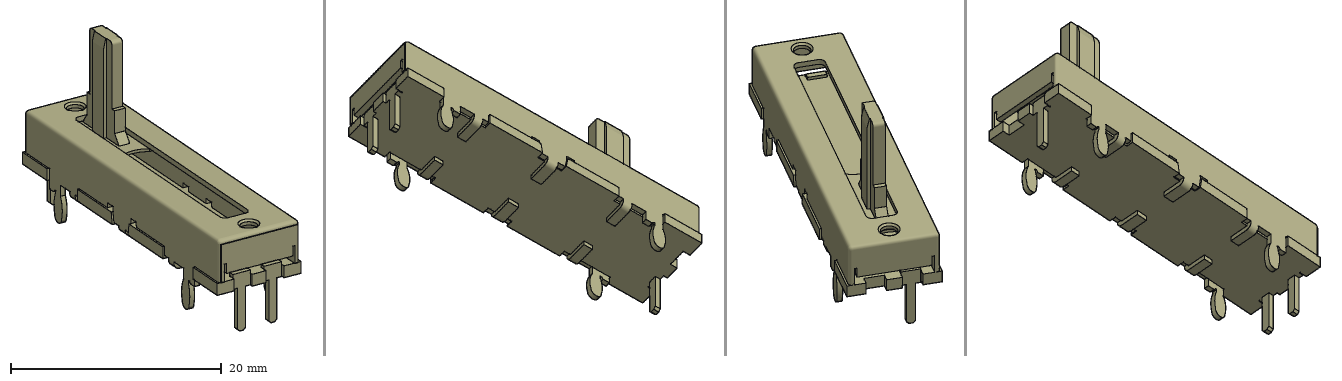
import cadquery as cq
import math

LENGTH = 35.0
LEFT_END = -LENGTH / 2
END_PAD_THICKNESS = 0.1
RIGHT_END = LENGTH / 2 - END_PAD_THICKNESS

BASE_WIDTH = 9.4
BASE_THICKNESS = 1.25
END_RECESS_INNER_Y = 0.78
END_RECESS_OUTER_Y = 2.8
END_RECESS_DEPTH = 0.8

COVER_WIDTH = 9.0
COVER_TOP = 5.65
SHEET = 0.55
COVER_BEND = 0.4
COVER_CORNER = 0.35
SIDE_OUTER_Y = COVER_WIDTH / 2
SIDE_INNER_Y = SIDE_OUTER_Y - SHEET
END_PAD_WIDTH = 8.6
END_WALL_BOTTOM = 2.1
END_WALL_HALF_WIDTH = 3.71
END_SLIT_TOP = 3.13

SLOT_LENGTH = 26.8
SLOT_WIDTH = 3.08
SLOT_CORNER = 0.6
SCREW_HOLE_X = 15.55
SCREW_HOLE_RADIUS = 0.84
SCREW_HOLE_CHAMFER = 0.2

SKIRT_INNER_X = 7.65
SKIRT_OUTER_X = 13.0
SKIRT_BOTTOM = 0.28
NOTCH_OUTER_X = 13.1
TAB_TOP_HALF = 1.6
TAB_BOTTOM_HALF = 1.4
TAB_BOTTOM = 0.15
WINDOW_OUTER_X = 2.53
WINDOW_TOP = 1.77
WINDOW_FLARE = 0.07

CLAW_X = 8.85
CLAW_WIDTH = 1.0
CENTRE_CLAW_WIDTH = 1.2
CLAW_BEND_TOP = 0.1
CLAW_BOTTOM = -0.53
CLAW_INNER_Y = 1.8
CLAW_BEND = CLAW_BEND_TOP - CLAW_BOTTOM

STEM_WIDTH = 2.0
LEG_X = SKIRT_OUTER_X - STEM_WIDTH / 2
STEM_BOTTOM = -0.87
LEAF_BULGE_X = 1.33
LEAF_WAIST_X = -0.16
LEAF_BULGE_Z = -2.2
LEAF_TIP_X = 0.58
LEAF_TIP_RADIUS = 0.62
LEAF_TIP_Z = -3.83
LEG_NOTCH_TOP = -0.65
LEG_NOTCH_LEFT_X = -0.05
LEG_NOTCH_RIGHT_X = 0.1
LEG_NOTCH_LIP_X = -0.25

TERMINAL_X = 16.75
TERMINAL_THICKNESS = 0.6
TERMINAL_TOP = 1.57
TERMINAL_OUTER_Y = 2.72
TERMINAL_Y = (END_RECESS_INNER_Y + TERMINAL_OUTER_Y) / 2
TERMINAL_WIDTH = TERMINAL_OUTER_Y - END_RECESS_INNER_Y
TERMINAL_PLACES = [
    (-TERMINAL_X, -TERMINAL_Y),
    (TERMINAL_X, -TERMINAL_Y),
    (TERMINAL_X, TERMINAL_Y),
]
PIN_WIDTH = 0.9
PIN_BOTTOM = -4.55
PIN_CHAMFER = 0.25

SLIDER_X = -10.0
SLIDER_TOP = 15.52
LEVER_HALF_LENGTH = 2.0
LEVER_WIDTH = 1.2
LEVER_CORNER = 0.4
SHOULDER_HALF_LENGTH = 2.48
SHOULDER_TOP = 8.5
FLARE_HALF_LENGTH = 3.26
FLARE_TOP = 6.12
RIB_LENGTH = 2.02
RIB_HALF_WIDTH = 0.92
RIB_TIP_HALF_WIDTH = 0.68
RIB_TAPER_START = 14.5
CARRIAGE_TOP = COVER_TOP - SHEET
CARRIAGE_THICKNESS = 0.3
CARRIAGE_HALF_WIDTH = 3.0
CARRIAGE_WAIST = 4.81
CARRIAGE_END_RADIUS = 2.76


def block(x_min, x_max, y_min, y_max, z_min, z_max):
    """Box given by its limits along each axis."""
    size = (x_max - x_min, y_max - y_min, z_max - z_min)
    return cq.Workplane("XY").box(*size, centered=False).translate((x_min, y_min, z_min))


def side_plate(outline, side, depth):
    """Plate from a closed XZ outline, starting at the inner face of the +Y or -Y side wall."""
    return outline.extrude(-side * depth).translate((0, side * SIDE_INNER_Y, 0))


def centre_tab_outline(bottom):
    """Tapered tab in the middle of each side wall, its flanks meeting the base top at full width."""
    slope = (TAB_TOP_HALF - TAB_BOTTOM_HALF) / BASE_THICKNESS
    bottom_half = TAB_TOP_HALF - slope * (BASE_THICKNESS - bottom)
    return cq.Workplane("XZ").polyline([
        (-TAB_TOP_HALF, BASE_THICKNESS),
        (TAB_TOP_HALF, BASE_THICKNESS),
        (bottom_half, bottom),
        (-bottom_half, bottom),
    ]).close()


def make_base():
    """Plate notched for the cover's skirts and tabs, with recessed ends for the terminals."""
    base = block(LEFT_END, RIGHT_END, -BASE_WIDTH / 2, BASE_WIDTH / 2, 0, BASE_THICKNESS)
    end_recesses = [(LEFT_END, LEFT_END + END_RECESS_DEPTH), (RIGHT_END - END_RECESS_DEPTH, RIGHT_END)]
    for side in (-1, 1):
        base = base.cut(side_plate(centre_tab_outline(0), side, BASE_WIDTH))
        side_y = sorted((side * SIDE_INNER_Y, side * BASE_WIDTH))
        end_y = sorted((side * END_RECESS_INNER_Y, side * END_RECESS_OUTER_Y))
        for end in (-1, 1):
            notch_x = sorted((end * SKIRT_INNER_X, end * NOTCH_OUTER_X))
            base = base.cut(block(*notch_x, *side_y, 0, BASE_THICKNESS))
        for recess_x in end_recesses:
            base = base.cut(block(*recess_x, *end_y, 0, BASE_THICKNESS))
    return base


def make_cover_shell():
    """Open-bottomed box with bent edges and a thin raised pad on its +X end."""
    shell = (
        block(LEFT_END, RIGHT_END, -SIDE_OUTER_Y, SIDE_OUTER_Y, BASE_THICKNESS, COVER_TOP)
        .edges("|Z").fillet(COVER_CORNER)
        .edges(">Z").fillet(COVER_BEND)
    )
    pad_half = END_PAD_WIDTH / 2
    shell = shell.union(block(
        RIGHT_END - SHEET, RIGHT_END + END_PAD_THICKNESS,
        -pad_half, pad_half, BASE_THICKNESS, COVER_TOP - COVER_BEND,
    ))
    return shell.cut(block(
        LEFT_END + SHEET, RIGHT_END - SHEET, -SIDE_INNER_Y, SIDE_INNER_Y, BASE_THICKNESS, COVER_TOP - SHEET,
    ))


def cut_end_walls(cover):
    """Raise the lower edge of both end walls and slit them free of the side walls."""
    cover = cover.cut(block(-LENGTH, LENGTH, -SIDE_INNER_Y, SIDE_INNER_Y, BASE_THICKNESS, END_WALL_BOTTOM))
    for side in (-1, 1):
        slit_y = sorted((side * END_WALL_HALF_WIDTH, side * SIDE_INNER_Y))
        cover = cover.cut(block(-LENGTH, LENGTH, *slit_y, BASE_THICKNESS, END_SLIT_TOP))
    return cover


def cut_top_openings(cover):
    """Travel slot for the lever and a chamfered screw hole beyond each end of it."""
    slot = (
        cq.Workplane("XY").workplane(offset=COVER_TOP - SHEET)
        .rect(SLOT_LENGTH, SLOT_WIDTH).extrude(SHEET)
        .edges("|Z").fillet(SLOT_CORNER)
    )
    screw_hole = (
        cq.Workplane("XY").workplane(offset=COVER_TOP - SHEET)
        .circle(SCREW_HOLE_RADIUS).extrude(SHEET)
        .faces(">Z").workplane(offset=-SCREW_HOLE_CHAMFER)
        .circle(SCREW_HOLE_RADIUS)
        .workplane(offset=SCREW_HOLE_CHAMFER)
        .circle(SCREW_HOLE_RADIUS + SCREW_HOLE_CHAMFER)
        .loft()
    )
    cover = cover.cut(slot)
    for end in (-1, 1):
        cover = cover.cut(screw_hole.translate((end * SCREW_HOLE_X, 0, 0)))
    return cover


def cut_side_windows(cover):
    """Small openings through both side walls, on either side of the centre tabs."""
    for end in (-1, 1):
        window = cq.Workplane("XZ").polyline([
            (end * TAB_TOP_HALF, BASE_THICKNESS),
            (end * TAB_TOP_HALF, WINDOW_TOP),
            (end * WINDOW_OUTER_X, WINDOW_TOP),
            (end * (WINDOW_OUTER_X + WINDOW_FLARE), BASE_THICKNESS),
        ]).close()
        cover = cover.cut(window.extrude(SIDE_OUTER_Y, both=True))
    return cover


def leg_outline(lean):
    """Stem with one leaf-shaped prong; lean is the X direction in which the leaf bulges."""
    half = STEM_WIDTH / 2
    tip_centre_z = LEAF_TIP_Z + LEAF_TIP_RADIUS

    def at(x, z):
        return (lean * x, z)

    return (
        cq.Workplane("XZ")
        .moveTo(*at(-half, BASE_THICKNESS))
        .lineTo(*at(half, BASE_THICKNESS))
        .lineTo(*at(half, STEM_BOTTOM))
        .threePointArc(at(LEAF_BULGE_X, LEAF_BULGE_Z), at(LEAF_TIP_X + LEAF_TIP_RADIUS, tip_centre_z))
        .threePointArc(at(LEAF_TIP_X, LEAF_TIP_Z), at(LEAF_TIP_X - LEAF_TIP_RADIUS, tip_centre_z))
        .threePointArc(at(LEAF_WAIST_X, LEAF_BULGE_Z), at(LEG_NOTCH_RIGHT_X, STEM_BOTTOM))
        .lineTo(*at(LEG_NOTCH_RIGHT_X, LEG_NOTCH_TOP))
        .lineTo(*at(LEG_NOTCH_LEFT_X, LEG_NOTCH_TOP))
        .lineTo(*at(LEG_NOTCH_LIP_X, STEM_BOTTOM))
        .lineTo(*at(-half, STEM_BOTTOM))
        .close()
    )


def make_claw(x, width, side):
    """Tongue bent inward under the base from one side wall."""
    claw_x = (x - width / 2, x + width / 2)
    tongue_y = sorted((side * CLAW_INNER_Y, side * SIDE_OUTER_Y))
    wall_y = sorted((side * SIDE_INNER_Y, side * SIDE_OUTER_Y))
    tongue = block(*claw_x, *tongue_y, CLAW_BOTTOM, 0)
    claw = tongue.union(block(*claw_x, *wall_y, CLAW_BOTTOM, SKIRT_BOTTOM))
    outer = ">Y" if side > 0 else "<Y"
    return claw.faces("<Z").edges(outer).fillet(CLAW_BEND)


def add_side_features(housing):
    """Skirts, centre tabs, claws and snap-in legs of both side walls."""
    for side in (-1, 1):
        side_y = sorted((side * SIDE_INNER_Y, side * SIDE_OUTER_Y))
        housing = housing.union(side_plate(centre_tab_outline(TAB_BOTTOM), side, SHEET))
        housing = housing.union(make_claw(0, CENTRE_CLAW_WIDTH, side))
        for end in (-1, 1):
            skirt_x = sorted((end * SKIRT_INNER_X, end * SKIRT_OUTER_X))
            housing = housing.union(block(*skirt_x, *side_y, SKIRT_BOTTOM, BASE_THICKNESS))
            housing = housing.union(make_claw(end * CLAW_X, CLAW_WIDTH, side))
            leg = side_plate(leg_outline(end * side), side, SHEET)
            housing = housing.union(leg.translate((end * LEG_X, 0, 0)))
    return housing


def make_terminal():
    """Terminal plate with its solder pin, centred on its own x = 0 and y = 0."""
    plate = cq.Workplane("XY").box(
        TERMINAL_THICKNESS, TERMINAL_WIDTH, TERMINAL_TOP, centered=(True, True, False))
    pin = (
        cq.Workplane("XY").workplane(offset=PIN_BOTTOM)
        .box(TERMINAL_THICKNESS, PIN_WIDTH, -PIN_BOTTOM, centered=(True, True, False))
        .faces("<Z").edges("|X").chamfer(PIN_CHAMFER)
    )
    return plate.union(pin)


def make_housing():
    """Base, cover and terminals joined into the one fixed body."""
    cover = cut_side_windows(cut_top_openings(cut_end_walls(make_cover_shell())))
    housing = add_side_features(make_base().union(cover))
    for x, y in TERMINAL_PLACES:
        housing = housing.union(make_terminal().translate((x, y, 0)))
    return housing


def make_lever():
    """Flat lever with a shoulder and a flared foot, standing on the carriage."""
    profile = [
        (LEVER_HALF_LENGTH, SLIDER_TOP),
        (LEVER_HALF_LENGTH, SHOULDER_TOP),
        (SHOULDER_HALF_LENGTH, SHOULDER_TOP),
        (SHOULDER_HALF_LENGTH, FLARE_TOP),
        (FLARE_HALF_LENGTH, CARRIAGE_TOP),
    ]
    mirrored = [(-x, z) for x, z in reversed(profile)]
    return (
        cq.Workplane("XZ").polyline(profile + mirrored).close()
        .extrude(LEVER_WIDTH / 2, both=True)
        .edges(">Z and |Y").fillet(LEVER_CORNER)
    )


def make_rib():
    """Stiffening rib across the lever, tapered at its tip."""
    profile = [
        (RIB_HALF_WIDTH, CARRIAGE_TOP),
        (RIB_HALF_WIDTH, RIB_TAPER_START),
        (RIB_TIP_HALF_WIDTH, SLIDER_TOP),
    ]
    mirrored = [(-y, z) for y, z in reversed(profile)]
    return cq.Workplane("YZ").polyline(profile + mirrored).close().extrude(RIB_LENGTH / 2, both=True)


def make_carriage():
    """Plate under the cover with a round hollow in each end."""
    half_length = CARRIAGE_WAIST + CARRIAGE_END_RADIUS - math.sqrt(
        CARRIAGE_END_RADIUS ** 2 - (SLOT_WIDTH / 2) ** 2)
    carriage = block(
        -half_length, half_length, -CARRIAGE_HALF_WIDTH, CARRIAGE_HALF_WIDTH,
        CARRIAGE_TOP - CARRIAGE_THICKNESS, CARRIAGE_TOP,
    )
    hollows = (
        cq.Workplane("XY").workplane(offset=CARRIAGE_TOP - CARRIAGE_THICKNESS)
        .pushPoints([(end * (CARRIAGE_WAIST + CARRIAGE_END_RADIUS), 0) for end in (-1, 1)])
        .circle(CARRIAGE_END_RADIUS).extrude(CARRIAGE_THICKNESS)
    )
    return carriage.cut(hollows)


def make_slider():
    """Moving body: carriage, lever and rib at the -X end of the travel."""
    return make_carriage().union(make_lever()).union(make_rib()).translate((SLIDER_X, 0, 0))


housing = make_housing()
slider = make_slider()
result = cq.Compound.makeCompound([housing.val(), slider.val()])